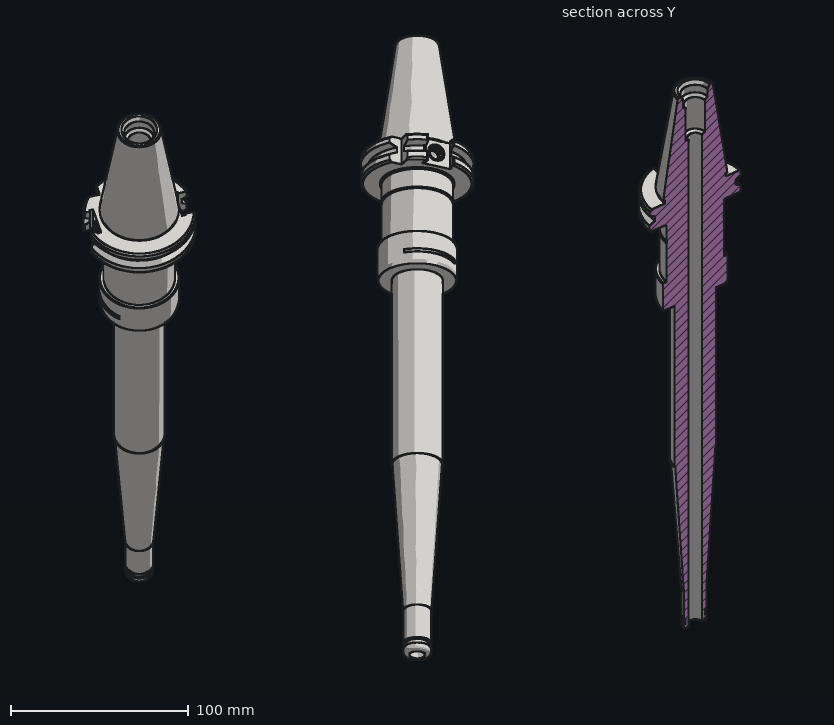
import cadquery as cq
import math

top = 68.5
overall_length = 384.2
bottom = top - overall_length

gauge_radius = 22.3
taper_ratio = 7 / 24
taper_tip_radius = gauge_radius - top * taper_ratio / 2
tip_edge = 0.58
collar_bottom = -1.0
neck_radius = 21.0

flange_radius = 63.5 / 2
flange_top = -3.0
flange_bottom = -19.2
flange_edge = 1.0
groove_floor_radius = 28.0
groove_middle = -10.8
groove_floor_width = 3.0
groove_slope = math.radians(30)
groove_mouth_half = groove_floor_width / 2 + (flange_radius - groove_floor_radius) * math.tan(groove_slope)

slot_width = 15.5
back_slot_floor = 22.5
front_slot_floor = 24.5
slot_mouth_chamfer = 1.0
corner_relief_depth = 0.95
corner_relief_height = 2.0
notch_x = 18.5
notch_y = 18.0

drill_tip_slope = math.radians(31)

recess_mouth_radius = 5.0
recess_radius = 9.0 / 2
recess_depth = 2.0
pilot_radius = 3.0
pilot_depth = 4.2

body_radius = 40.5 / 2
body_corner = 0.8
body_groove_top = -31.0
body_groove_width = 0.8
body_groove_depth = 0.5
nut_radius = 45.0 / 2
nut_top = -60.0
nut_bottom = -80.5
nut_top_edge = 0.5
nut_bevel_height = 2.3
nut_bevel_inset = 0.58

band_top = -71.0
band_bottom = -73.0
band_depth = 0.5
band_angle = 90

shank_radius = 29.0 / 2
shank_bottom = -196.0
cone_top_radius = 28.0 / 2
cone_end_radius = 8.0
cone_bottom = -288.0
tip_radius = 15.8 / 2
tip_groove_radius = 7.0
tip_groove_top = -308.5
tip_groove_bottom = -312.0
tip_groove_bevel = 0.8
tip_rounding = 1.5

mouth_chamfer_radius = 10.0
mouth_radius = 8.5
mouth_depth = 8.0
mouth_slope = math.radians(60)
thread_radius = 6.5
thread_depth = 32.5
through_radius = 9.0 / 2


def turned_body():
    outline = [
        (0, top),
        (taper_tip_radius - tip_edge, top),
        (taper_tip_radius, top - tip_edge),
        (gauge_radius, 0),
        (gauge_radius, collar_bottom),
        (neck_radius, collar_bottom),
        (neck_radius, flange_top),
        (flange_radius - flange_edge, flange_top),
        (flange_radius, flange_top - flange_edge),
        (flange_radius, groove_middle + groove_mouth_half),
        (groove_floor_radius, groove_middle + groove_floor_width / 2),
        (groove_floor_radius, groove_middle - groove_floor_width / 2),
        (flange_radius, groove_middle - groove_mouth_half),
        (flange_radius, flange_bottom + flange_edge),
        (flange_radius - flange_edge, flange_bottom),
        (body_radius + body_corner, flange_bottom),
        (body_radius, flange_bottom - body_corner),
        (body_radius, body_groove_top),
        (body_radius - body_groove_depth, body_groove_top),
        (body_radius - body_groove_depth, body_groove_top - body_groove_width),
        (body_radius, body_groove_top - body_groove_width),
        (body_radius, nut_top),
        (nut_radius - nut_top_edge, nut_top),
        (nut_radius, nut_top - nut_top_edge),
        (nut_radius, nut_bottom + nut_bevel_height),
        (nut_radius - nut_bevel_inset, nut_bottom),
        (shank_radius, nut_bottom),
        (shank_radius, shank_bottom),
        (cone_top_radius, shank_bottom),
        (cone_end_radius, cone_bottom),
        (tip_radius, cone_bottom),
        (tip_radius, tip_groove_top),
        (tip_groove_radius, tip_groove_top - tip_groove_bevel),
        (tip_groove_radius, tip_groove_bottom),
        (tip_radius, tip_groove_bottom),
        (tip_radius, bottom),
        (0, bottom),
    ]
    turned = cq.Workplane("XZ").polyline(outline).close().revolve(360, (0, 0), (0, 1))
    return turned.faces("<Z").edges().fillet(tip_rounding)


def axial_bores():
    chamfer_depth = (mouth_chamfer_radius - mouth_radius) * math.tan(mouth_slope)
    mouth_floor = top - mouth_depth
    point_depth = (thread_radius - through_radius) * math.tan(drill_tip_slope)
    outline = [
        (0, top),
        (mouth_chamfer_radius, top),
        (mouth_radius, top - chamfer_depth),
        (mouth_radius, mouth_floor),
        (thread_radius, mouth_floor - (mouth_radius - thread_radius)),
        (thread_radius, top - thread_depth),
        (through_radius, top - thread_depth - point_depth),
        (through_radius, bottom),
        (0, bottom),
    ]
    return cq.Workplane("XZ").polyline(outline).close().revolve(360, (0, 0), (0, 1))


def flange_prism(outline):
    """A cutter with the given XY outline, through the whole flange thickness."""
    height = flange_top - flange_bottom
    return cq.Workplane("XY", origin=(0, 0, flange_bottom)).polyline(outline).close().extrude(height)


def drive_slot(floor, side):
    """A slot with relieved floor corners and a chamfered mouth; side is +1 for back, -1 for front."""
    half = slot_width / 2
    relief_half = half + corner_relief_depth
    relief_top = floor + corner_relief_height
    mouth = math.sqrt(flange_radius**2 - half**2)
    flare = flange_radius - mouth + slot_mouth_chamfer
    half_outline = [
        (relief_half, floor),
        (relief_half, relief_top),
        (half, relief_top),
        (half, flange_radius - flare),
        (half + flare, flange_radius),
    ]
    mirrored_outline = [(-x, y) for x, y in reversed(half_outline)]
    return flange_prism([(x, side * y) for x, y in half_outline + mirrored_outline])


def orientation_notch():
    corner = (-notch_x, -notch_y)
    return flange_prism(
        [corner, (-flange_radius, -notch_y), (-flange_radius, -flange_radius), (-notch_x, -flange_radius)]
    )


def front_hole():
    """A chamfered recess and a pilot hole ending in a drill point, turned about the Y direction."""
    mouth = -front_slot_floor
    chamfer = recess_mouth_radius - recess_radius
    point_depth = pilot_depth + pilot_radius * math.tan(drill_tip_slope)
    outline = [
        (0, mouth),
        (recess_mouth_radius, mouth),
        (recess_radius, mouth + chamfer),
        (recess_radius, mouth + recess_depth),
        (pilot_radius, mouth + recess_depth),
        (pilot_radius, mouth + pilot_depth),
        (0, mouth + point_depth),
    ]
    plane = cq.Workplane("XY", origin=(0, 0, groove_middle))
    return plane.polyline(outline).close().revolve(360, (0, 0), (0, 1))


def nut_band():
    """A ring segment centred on the -Y direction."""
    middle = (band_top + band_bottom) / 2
    return (
        cq.Workplane("XZ")
        .center(nut_radius, middle)
        .rect(2 * band_depth, band_top - band_bottom)
        .revolve(band_angle, (-nut_radius, 0), (-nut_radius, 1))
        .rotate((0, 0, 0), (0, 0, 1), -90 - band_angle / 2)
    )


result = turned_body()
for cutter in (
    drive_slot(back_slot_floor, 1),
    drive_slot(front_slot_floor, -1),
    orientation_notch(),
    front_hole(),
    nut_band(),
    axial_bores(),
):
    result = result.cut(cutter)